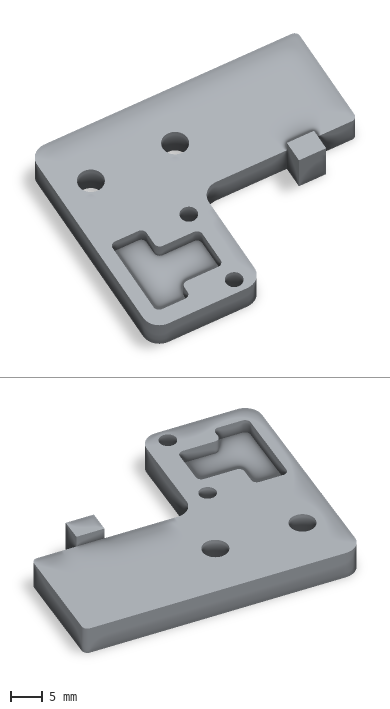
import cadquery as cq

plate_length_x = 41.0
plate_length_y = 49.5
plate_thickness = 5.0
arm_width = 20.0
foot_width = 20.5
corner_radius = 3.0
arm_end_radius = 1.0

tab_width = 4.0
tab_length = 5.0
tab_start_y = 36.5
tab_height = 7.0

large_hole_diameter = 4.5
large_hole_y_positions = (6.0, 21.5)
small_hole_diameter = 3.0
small_hole_x_positions = (23.5, 38.5)
small_hole_y = 16.5

pocket_base_start_x = 22.5
pocket_stem_start_x = 27.0
pocket_start_y = 2.5
pocket_base_width = 15.5
pocket_base_length = 6.25
pocket_stem_width = 8.0
pocket_length = 14.0
pocket_depth = 2.5
pocket_corner_radius = 1.0


def make_plate():
    """L-shaped plate with rounded vertical edges."""
    plate = (
        cq.Workplane("XY")
        .polyline([
            (0, 0),
            (plate_length_x, 0),
            (plate_length_x, foot_width),
            (arm_width, foot_width),
            (arm_width, plate_length_y),
            (0, plate_length_y),
        ])
        .close()
        .extrude(plate_thickness)
    )
    plate = plate.faces(">Y").edges("|Z").fillet(arm_end_radius)
    large_corners = [
        (0, 0),
        (plate_length_x, 0),
        (plate_length_x, foot_width),
        (arm_width, foot_width),
    ]
    for x, y in large_corners:
        corner = cq.selectors.NearestToPointSelector((x, y, plate_thickness / 2))
        plate = plate.edges("|Z").edges(corner).fillet(corner_radius)
    return plate


def make_tab():
    """Rectangular tab against the inner side of the arm."""
    return (
        cq.Workplane("XY", origin=(arm_width, tab_start_y, 0))
        .rect(tab_width, tab_length, centered=False)
        .extrude(tab_height)
    )


def make_holes(diameter, centers):
    """Cylinders that cut straight through the plate."""
    return (
        cq.Workplane("XY")
        .pushPoints(centers)
        .circle(diameter / 2)
        .extrude(plate_thickness)
    )


def make_pocket_block(start_x, width, length):
    """Box reaching from the pocket floor up to the top of the plate."""
    pocket_floor_z = plate_thickness - pocket_depth
    return (
        cq.Workplane("XY", origin=(start_x, pocket_start_y, pocket_floor_z))
        .rect(width, length, centered=False)
        .extrude(pocket_depth)
    )


def make_pocket():
    """T-shaped pocket volume, base toward the outer edge and stem toward +Y."""
    base = make_pocket_block(pocket_base_start_x, pocket_base_width, pocket_base_length)
    stem = make_pocket_block(pocket_stem_start_x, pocket_stem_width, pocket_length)
    return base.union(stem).clean().edges("|Z").fillet(pocket_corner_radius)


large_hole_centers = [(arm_width / 2, y) for y in large_hole_y_positions]
small_hole_centers = [(x, small_hole_y) for x in small_hole_x_positions]

result = (
    make_plate()
    .union(make_tab())
    .cut(make_holes(large_hole_diameter, large_hole_centers))
    .cut(make_holes(small_hole_diameter, small_hole_centers))
    .cut(make_pocket())
)